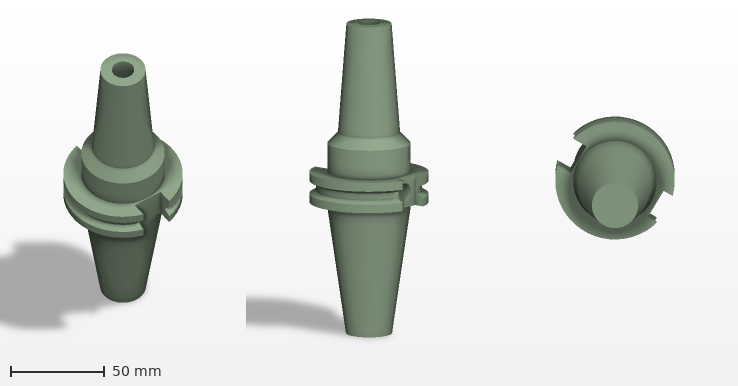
import cadquery as cq

shank_end_diameter = 24.5
shank_length = 68.5
body_diameter = 44.5

flange_diameter = 63.6
flange_bottom = 71.3
flange_top = 87.7

groove_center = 79.4
groove_floor_diameter = 56.4
groove_floor_width = 3.7
groove_mouth_width = 7.0

body_top = 103.3
nose_base_diameter = 33.1
nose_tip_diameter = 24.0
total_length = 168.2

slot_width = 16.8
left_slot_floor = 25.0
right_slot_floor = 22.5

bore_diameter = 12.0
bore_depth = 47.1
side_hole_diameter = 10.0
side_hole_depth = 5.9

body_radius = body_diameter / 2
flange_radius = flange_diameter / 2
nose_base_radius = nose_base_diameter / 2
groove_floor_radius = groove_floor_diameter / 2
shoulder_chamfer = body_radius - nose_base_radius


def turned_body():
    """Revolve the half profile about Z, including the groove."""
    profile = [
        (0, 0),
        (shank_end_diameter / 2, 0),
        (body_radius, shank_length),
        (body_radius, flange_bottom),
        (flange_radius, flange_bottom),
        (flange_radius, groove_center - groove_mouth_width / 2),
        (groove_floor_radius, groove_center - groove_floor_width / 2),
        (groove_floor_radius, groove_center + groove_floor_width / 2),
        (flange_radius, groove_center + groove_mouth_width / 2),
        (flange_radius, flange_top),
        (body_radius, flange_top),
        (body_radius, body_top),
        (nose_base_radius, body_top + shoulder_chamfer),
        (nose_tip_diameter / 2, total_length),
        (0, total_length),
    ]
    return cq.Workplane("XZ").polyline(profile).close().revolve(360, (0, 0), (0, 1))


def drive_slot(side, floor_distance):
    """Block that cuts the flange on one side (-1 or +1 along X)."""
    block = cq.Workplane("XY").box(
        flange_radius, slot_width, flange_top - flange_bottom, centered=(True, True, False)
    )
    return block.translate((side * (floor_distance + flange_radius / 2), 0, flange_bottom))


def nose_bore():
    bore = cq.Workplane("XY").circle(bore_diameter / 2).extrude(bore_depth)
    return bore.translate((0, 0, total_length - bore_depth))


def side_hole():
    """Blind hole in the floor of the -X slot, level with the groove."""
    hole = cq.Workplane("YZ").circle(side_hole_diameter / 2).extrude(side_hole_depth)
    return hole.translate((-left_slot_floor, 0, groove_center))


result = (
    turned_body()
    .cut(drive_slot(-1, left_slot_floor))
    .cut(drive_slot(1, right_slot_floor))
    .cut(nose_bore())
    .cut(side_hole())
)